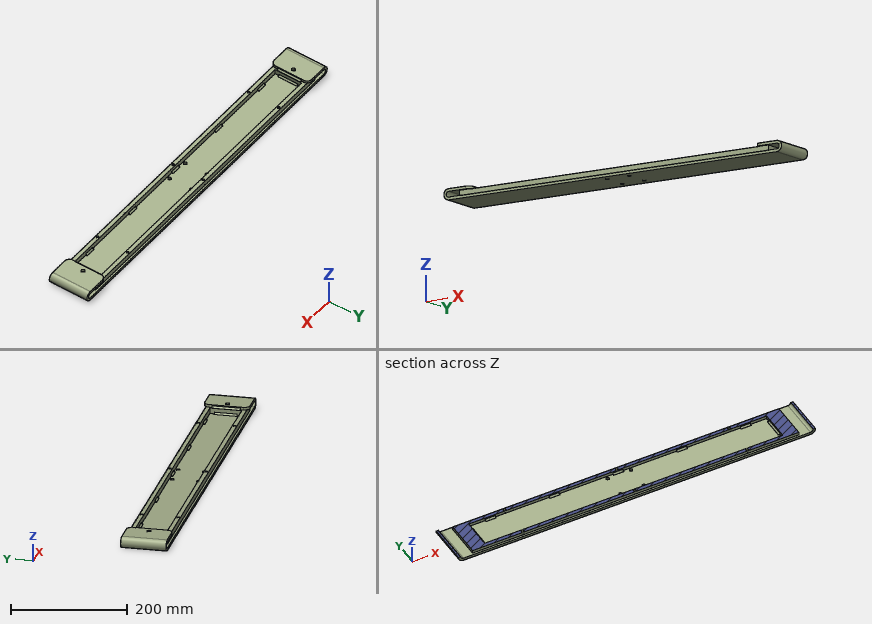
import cadquery as cq

LENGTH = 700.0
WIDTH = 80.0
HEIGHT = 20.0
SHEET = 5.0
FLAP_REACH = 55.0
FLAP_CORNER_RADIUS = 10.0
BEND_RADIUS = HEIGHT / 2

FRAME_LENGTH = 640.0
FRAME_WIDTH = 72.0
RAIL_WIDTH = 8.0
END_BAR_WIDTH = 28.5
FRAME_HEIGHT = HEIGHT - 2 * SHEET
FRAME_TOP = SHEET + FRAME_HEIGHT
POCKET_LENGTH = FRAME_LENGTH - 2 * END_BAR_WIDTH
POCKET_WIDTH = FRAME_WIDTH - 2 * RAIL_WIDTH

WELD_LEG = 3.0
RAIL_WELD_LENGTH = 20.0
RAIL_WELD_PITCH = 125.0
RAIL_WELD_STEPS = range(-2, 3)
END_WELD_LENGTH = 40.0
FLAP_WELD_LENGTH = 50.0

RAIL_HOLE_DIAMETER = 4.0
RAIL_HOLE_PITCH = 220.0
FLOOR_HOLE_DIAMETER = 6.0
FLOOR_HOLE_SPACING = 46.0
FLAP_HOLE_DIAMETER = 7.0
FLAP_HOLE_INSET = 44.0


def make_strap():
    """Floor sheet with a half-round bend and a short flap at each end."""
    side_plane = cq.Workplane("XZ", origin=(0, WIDTH / 2, BEND_RADIUS))
    outside = side_plane.slot2D(LENGTH, HEIGHT).extrude(WIDTH)
    hollow = side_plane.slot2D(LENGTH - 2 * SHEET, FRAME_HEIGHT).extrude(WIDTH)
    opening = (
        cq.Workplane("XY", origin=(0, 0, FRAME_TOP))
        .rect(LENGTH - 2 * FLAP_REACH, WIDTH)
        .extrude(SHEET)
    )
    body = outside.cut(hollow).cut(opening)
    return body.edges("|Z").fillet(FLAP_CORNER_RADIUS)


def make_frame():
    """Bar frame around the open pocket."""
    return (
        cq.Workplane("XY", origin=(0, 0, SHEET))
        .rect(FRAME_LENGTH, FRAME_WIDTH)
        .rect(POCKET_LENGTH, POCKET_WIDTH)
        .extrude(FRAME_HEIGHT)
    )


def flap_weld(side):
    """Triangular bead between a flap edge and the top of its end bar; side is +1 or -1 in X."""
    flap_edge = side * (LENGTH / 2 - FLAP_REACH)
    return (
        cq.Workplane("XZ", origin=(0, FLAP_WELD_LENGTH / 2, FRAME_TOP))
        .polyline([(flap_edge, 0), (flap_edge - side * WELD_LEG, 0), (flap_edge, WELD_LEG)])
        .close()
        .extrude(FLAP_WELD_LENGTH)
    )


def rail_weld(x, side):
    """Triangular bead at the inner foot of one rail; side is +1 or -1 in Y."""
    wall = side * POCKET_WIDTH / 2
    return (
        cq.Workplane("YZ", origin=(x - RAIL_WELD_LENGTH / 2, 0, SHEET))
        .polyline([(wall, 0), (wall - side * WELD_LEG, 0), (wall, WELD_LEG)])
        .close()
        .extrude(RAIL_WELD_LENGTH)
    )


def end_weld(side):
    """Triangular bead at the inner foot of one end bar; side is +1 or -1 in X."""
    wall = side * POCKET_LENGTH / 2
    return (
        cq.Workplane("XZ", origin=(0, END_WELD_LENGTH / 2, SHEET))
        .polyline([(wall, 0), (wall - side * WELD_LEG, 0), (wall, WELD_LEG)])
        .close()
        .extrude(END_WELD_LENGTH)
    )


def make_welds():
    """All weld beads joined into one tool body."""
    welds = cq.Workplane("XY")
    for side in (-1, 1):
        welds = welds.add(end_weld(side)).add(flap_weld(side))
        for step in RAIL_WELD_STEPS:
            welds = welds.add(rail_weld(step * RAIL_WELD_PITCH, side))
    return welds.combine()


def make_holes():
    """Holes through the rails, the floor and the flaps."""
    rail_y = (FRAME_WIDTH - RAIL_WIDTH) / 2
    rail_points = [(s * RAIL_HOLE_PITCH, y) for s in (-1, 0, 1) for y in (-rail_y, rail_y)]
    rail_holes = (
        cq.Workplane("XY", origin=(0, 0, SHEET))
        .pushPoints(rail_points)
        .circle(RAIL_HOLE_DIAMETER / 2)
        .extrude(FRAME_HEIGHT)
    )
    floor_holes = (
        cq.Workplane("XY")
        .rect(FLOOR_HOLE_SPACING, FLOOR_HOLE_SPACING, forConstruction=True)
        .vertices()
        .circle(FLOOR_HOLE_DIAMETER / 2)
        .extrude(SHEET)
    )
    flap_hole_x = LENGTH / 2 - FLAP_HOLE_INSET
    flap_holes = (
        cq.Workplane("XY", origin=(0, 0, FRAME_TOP))
        .pushPoints([(-flap_hole_x, 0), (flap_hole_x, 0)])
        .circle(FLAP_HOLE_DIAMETER / 2)
        .extrude(SHEET)
    )
    return rail_holes.union(floor_holes).union(flap_holes)


result = make_strap().union(make_frame()).union(make_welds()).cut(make_holes())